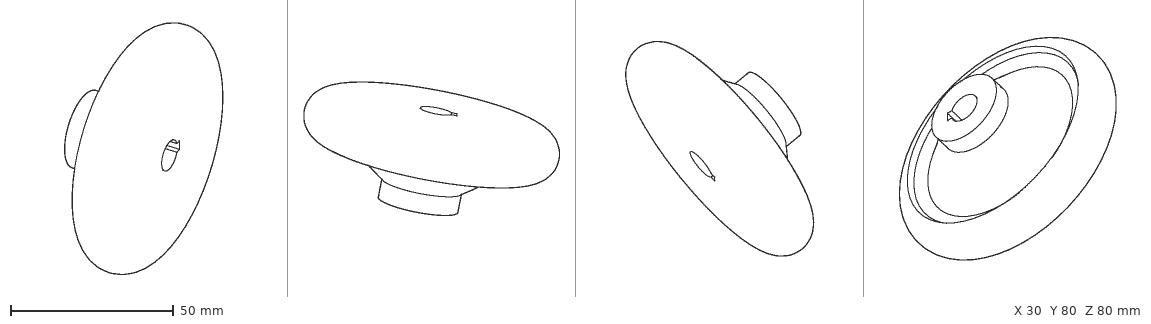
import cadquery as cq
import math

wheel_radius = 40.0
total_width = 30.0
rim_width = 15.4
rim_round = rim_width / 2
rim_middle_x = total_width - rim_round
rim_center_radius = wheel_radius - rim_round

hub_radius = 25.0 / 2
hub_length = 6.0

web_outer_radius = 28.0
web_outer_x = 18.4
web_bow = 0.3

floor_outer_radius = 32.0
floor_outer_x = 16.55
lip_radius = 33.0

bore_diameter = 10.0
key_width = 3.2
key_reach = 6.5


def web_middle_point():
    """Midpoint of the web arc, pushed off its chord toward the front."""
    run = web_outer_x - hub_length
    rise = web_outer_radius - hub_radius
    chord = math.hypot(run, rise)
    x = (hub_length + web_outer_x) / 2 - web_bow * rise / chord
    radius = (hub_radius + web_outer_radius) / 2 + web_bow * run / chord
    return x, radius


def wheel_body():
    """Revolve the half section; its local X and Y are the axis and the radius."""
    lip_offset = lip_radius - rim_center_radius
    lip_x = rim_middle_x - math.sqrt(rim_round**2 - lip_offset**2)
    section = (
        cq.Workplane("XY")
        .lineTo(0, hub_radius)
        .lineTo(hub_length, hub_radius)
        .threePointArc(web_middle_point(), (web_outer_x, web_outer_radius))
        .lineTo(floor_outer_x, floor_outer_radius)
        .lineTo(lip_x, lip_radius)
        .threePointArc((rim_middle_x, wheel_radius), (total_width, rim_center_radius))
        .lineTo(total_width, 0)
        .close()
    )
    return section.revolve(360, (0, 0, 0), (1, 0, 0))


def keyed_bore():
    """Through bore with a keyway on its +Y side."""
    bore = cq.Workplane("YZ").circle(bore_diameter / 2).extrude(total_width)
    keyway = (
        cq.Workplane("YZ")
        .center(key_reach / 2, 0)
        .rect(key_reach, key_width)
        .extrude(total_width)
    )
    return bore.union(keyway)


result = wheel_body().cut(keyed_bore())